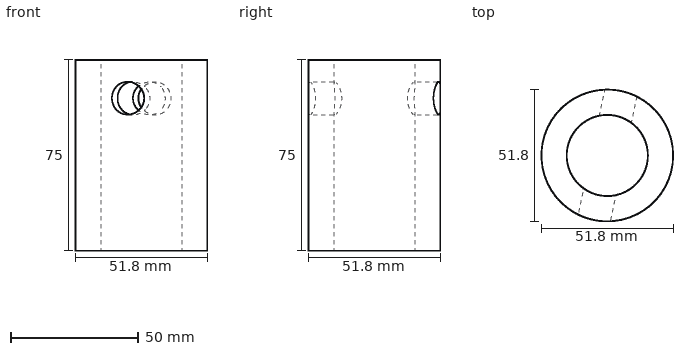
import cadquery as cq

height = 75.0
outer_diameter = 51.8
bore_diameter = 31.8

hole_diameter = 12.9
hole_depth_below_top = 15.0
hole_angle = -12.0


def make_sleeve():
    """Plain tube standing on the XY plane."""
    return (
        cq.Workplane("XY")
        .circle(outer_diameter / 2)
        .circle(bore_diameter / 2)
        .extrude(height)
    )


def make_cross_hole():
    """Cylinder reaching past both sides of the sleeve."""
    return (
        cq.Workplane("XZ")
        .center(0, height - hole_depth_below_top)
        .circle(hole_diameter / 2)
        .extrude(outer_diameter, both=True)
        .rotate((0, 0, 0), (0, 0, 1), hole_angle)
    )


result = make_sleeve().cut(make_cross_hole())